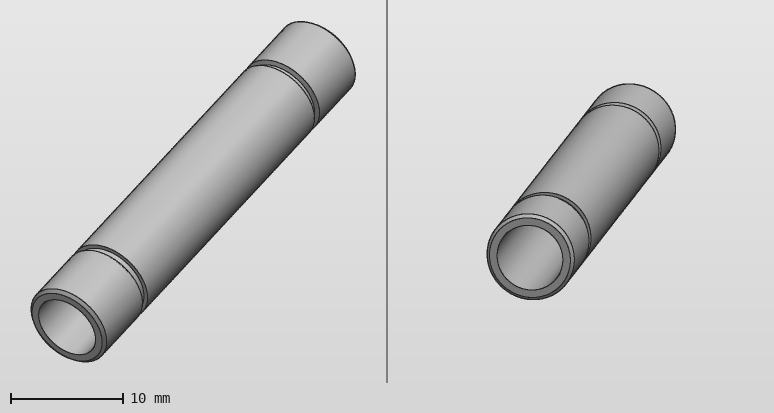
import cadquery as cq

length = 42.0
outer_diameter = 8.0
bore_diameter = 6.0
end_chamfer = 0.3

collar_length = 6.45
collar_taper_length = 0.2
groove_width = 0.65
groove_depth = 0.38

collar_start = length / 2 - collar_length
barrel_length = 2 * (collar_start - groove_width)


def cylinder_along_y(diameter, start, span):
    """Solid cylinder from Y = start to Y = start + span."""
    section_plane = cq.Plane((0, start, 0), xDir=(1, 0, 0), normal=(0, 1, 0))
    return cq.Workplane(section_plane).circle(diameter / 2).extrude(span)


def make_collar():
    """Collar at the +Y end, chamfered outside and tapering to the groove floor."""
    collar = cylinder_along_y(outer_diameter, collar_start, collar_length)
    collar = collar.faces(">Y").edges().chamfer(end_chamfer)
    return collar.faces("<Y").edges().chamfer(collar_taper_length, groove_depth)


core = cylinder_along_y(outer_diameter - 2 * groove_depth, -collar_start, 2 * collar_start)
barrel = cylinder_along_y(outer_diameter, -barrel_length / 2, barrel_length)
collar = make_collar()
body = core.union(barrel).union(collar).union(collar.mirror("XZ"))

bore = cylinder_along_y(bore_diameter, -length / 2, length)
result = body.cut(bore)